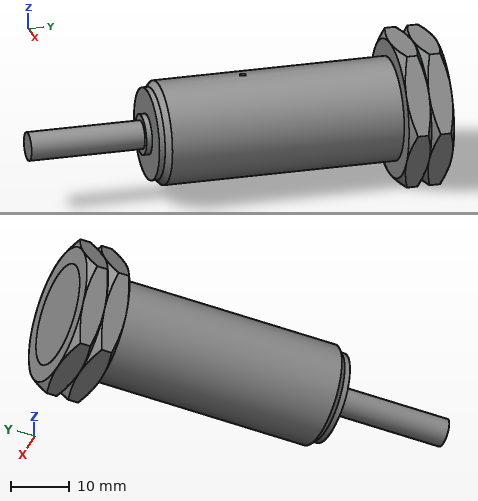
import cadquery as cq
import math

barrel_diameter = 18.0
barrel_length = 50.0
barrel_chamfer = 1.0
lip_length = 1.0
lip_diameter = barrel_diameter - 2 * barrel_chamfer
boss_diameter = 7.05
boss_length = 1.0
overall_length = 72.0
cable_diameter = 5.0
cable_length = overall_length - barrel_length - lip_length - boss_length

indicator_diameter = 1.0
indicator_depth = 1.0
indicator_distance = 34.0

nut_across_flats = 24.0
nut_across_corners = nut_across_flats / math.cos(math.radians(30))
nut_count = 2
nut_stack_length = 8.0
nut_thickness = nut_stack_length / nut_count
nut_chamfer_angle = 30.0


def rod(diameter, start, length):
    """Cylinder on the axis, from a distance in front of the rear face toward -Y."""
    return (
        cq.Workplane("XZ", origin=(0, -start, 0))
        .circle(diameter / 2)
        .extrude(length)
    )


def make_sensor():
    """Barrel with its front lip, cable boss, cable and indicator hole."""
    barrel = rod(barrel_diameter, 0, barrel_length).faces("<Y").chamfer(barrel_chamfer)
    lip = rod(lip_diameter, barrel_length, lip_length)
    boss_start = barrel_length + lip_length
    boss = rod(boss_diameter, boss_start, boss_length)
    cable = rod(cable_diameter, boss_start + boss_length, cable_length)
    hole_floor = barrel_diameter / 2 - indicator_depth
    indicator_hole = (
        cq.Workplane("XY", origin=(0, -indicator_distance, hole_floor))
        .circle(indicator_diameter / 2)
        .extrude(2 * indicator_depth)
    )
    return barrel.union(lip).union(boss).union(cable).cut(indicator_hole)


def make_nut(start):
    """Hexagon nut whose corners are coned off on both faces."""
    hexagon = (
        cq.Workplane("XZ")
        .polygon(6, nut_across_corners)
        .extrude(nut_thickness)
    )
    face_radius = nut_across_flats / 2
    corner_radius = nut_across_corners / 2
    cone_depth = (corner_radius - face_radius) * math.tan(math.radians(nut_chamfer_angle))
    double_cone = (
        cq.Workplane("XY")
        .moveTo(0, 0)
        .lineTo(face_radius, 0)
        .lineTo(corner_radius, -cone_depth)
        .lineTo(corner_radius, cone_depth - nut_thickness)
        .lineTo(face_radius, -nut_thickness)
        .lineTo(0, -nut_thickness)
        .close()
        .revolve(360, (0, 0, 0), (0, 1, 0))
    )
    bore = rod(barrel_diameter, 0, nut_thickness)
    return hexagon.intersect(double_cone).cut(bore).translate((0, -start, 0))


sensor = make_sensor()
nuts = [make_nut(index * nut_thickness) for index in range(nut_count)]

result = cq.Compound.makeCompound([sensor.val(), *[nut.val() for nut in nuts]])